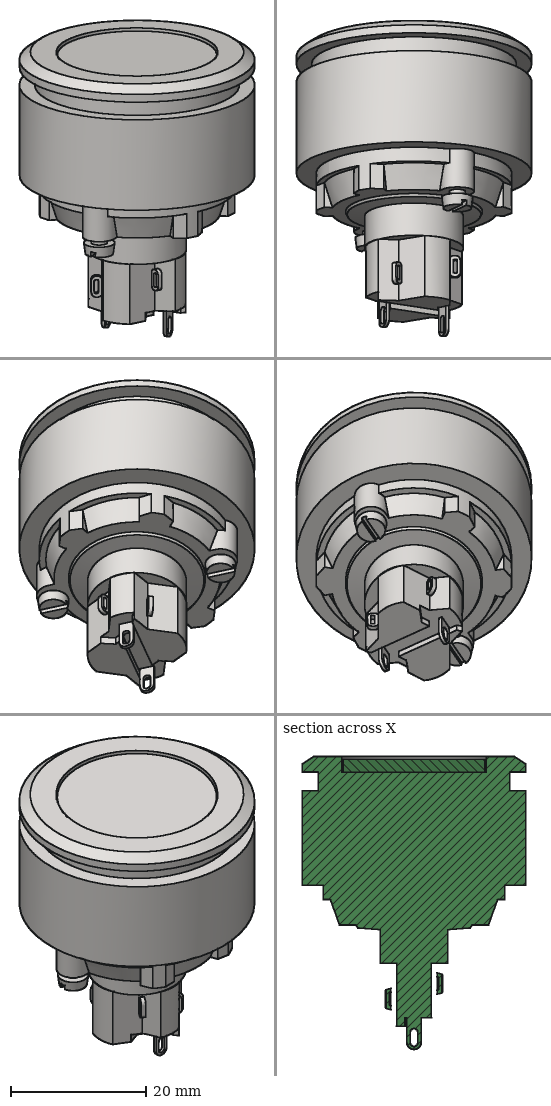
import cadquery as cq
import math

TOP_Z = 43.35
BEZEL_RIM_Z = 42.22
BEZEL_BOTTOM_Z = 41.0
COLLAR_TOP_Z = 38.28
COLLAR_BOTTOM_Z = 24.28
FLANGE_BOTTOM_Z = 22.15
CONE_BOTTOM_Z = 18.4
LIP_BOTTOM_Z = 17.95
BARREL_TOP_Z = 17.7
BLOCK_TOP_Z = 12.75
CHANNEL_CEILING_Z = 4.7
BLOCK_BOTTOM_Z = 3.42

BODY_RADIUS = 34.8 / 2
BEZEL_FACE_RADIUS = 31.55 / 2
NECK_RADIUS = 30.3 / 2
FLANGE_RADIUS = 28.9 / 2
CONE_TOP_RADIUS = 13.5
CONE_BOTTOM_RADIUS = 12.25
LIP_TOP_RADIUS = 20.25 / 2
LIP_BOTTOM_RADIUS = 19.8 / 2
BARREL_RADIUS = 14.6 / 2

BUTTON_RADIUS = 23.55 / 2
RECESS_RADIUS = 23.9 / 2
BUTTON_SINK = 0.45
RECESS_DEPTH = TOP_Z - BEZEL_BOTTOM_Z

TAB_ANGLES = (30, 150, 210, 330)
TAB_ROOT_RADIUS = 10.4
TAB_ROOT_HALF_ANGLE = 11.0
TAB_TIP_HALF_ANGLE = 3.9

SCREW_Y = 12.95
BOSS_RADIUS = 2.45
SHANK_RADIUS = 2.4 / 2
HEAD_TOP_RADIUS = 4.6 / 2
HEAD_BOTTOM_RADIUS = 4.15 / 2
HEAD_TOP_Z = 17.45
HEAD_BOTTOM_Z = 15.82
SCREW_SLOT = 0.75

LOBE_REACH = 7.4
X_LOBE_CORNER = (7.1, 1.85)
Y_LOBE_CORNER = (2.15, 7.0)
NOTCH_X = 4.35
NOTCH_Y = 3.05

CHANNEL_HALF_WIDTH = 1.3
FLARE_START_X = 6.5
POCKET_EDGE = (3.5, 4.5)
POCKET_VERTEX = (2.7, 2.45)
POCKET_END_X = 3.35

TERMINAL_X = 5.07
TERMINAL_WIDTH = 2.15
TERMINAL_THICKNESS = 0.5
EYE_WIDTH = 1.1
EYE_BOTTOM_Z = 0.48
EYE_TOP_Z = 3.08

LUG_REACH = 1.6
LUG_ROOT_DEPTH = 0.15
LUG_HEIGHT = 3.25
LUG_THICKNESS = 0.7
LUG_OFFSET = 0.17
LUG_CORNER_RADIUS = 0.8
LUG_EYE_WIDTH = 0.65
LUG_EYE_HEIGHT = 2.15
LUG_EYE_REACH = 0.82
LOW_LUG_Z = 7.45
HIGH_LUG_Z = 9.75

SIGN_PAIRS = [(sx, sy) for sx in (-1, 1) for sy in (-1, 1)]


def prism(points, bottom_z, top_z):
    """Straight prism on a closed polygon in the XY plane."""
    return cq.Workplane("XY").workplane(offset=bottom_z).polyline(points).close().extrude(top_z - bottom_z)


def polar(radius, degrees):
    angle = math.radians(degrees)
    return (radius * math.cos(angle), radius * math.sin(angle))


def make_turned_body():
    """Bezel, neck, collar, flange, cone, lip and barrel in one revolve."""
    profile = [
        (0, TOP_Z),
        (BEZEL_FACE_RADIUS, TOP_Z),
        (BODY_RADIUS, BEZEL_RIM_Z),
        (BODY_RADIUS, BEZEL_BOTTOM_Z),
        (NECK_RADIUS, BEZEL_BOTTOM_Z),
        (NECK_RADIUS, COLLAR_TOP_Z),
        (BODY_RADIUS, COLLAR_TOP_Z),
        (BODY_RADIUS, COLLAR_BOTTOM_Z),
        (FLANGE_RADIUS, COLLAR_BOTTOM_Z),
        (FLANGE_RADIUS, FLANGE_BOTTOM_Z),
        (CONE_TOP_RADIUS, FLANGE_BOTTOM_Z),
        (CONE_BOTTOM_RADIUS, CONE_BOTTOM_Z),
        (LIP_TOP_RADIUS, CONE_BOTTOM_Z),
        (LIP_BOTTOM_RADIUS, LIP_BOTTOM_Z),
        (BARREL_RADIUS, BARREL_TOP_Z),
        (BARREL_RADIUS, BLOCK_TOP_Z),
        (0, BLOCK_TOP_Z),
    ]
    return cq.Workplane("XZ").polyline(profile).close().revolve(360, (0, 0, 0), (0, 1, 0))


def make_tab(center_angle):
    """Tab with radial sides, bevelled to a narrow tip flush with the flange."""
    start_root = center_angle - TAB_ROOT_HALF_ANGLE
    end_root = center_angle + TAB_ROOT_HALF_ANGLE
    start_tip = center_angle - TAB_TIP_HALF_ANGLE
    end_tip = center_angle + TAB_TIP_HALF_ANGLE
    return (
        cq.Workplane("XY")
        .workplane(offset=CONE_BOTTOM_Z)
        .moveTo(*polar(TAB_ROOT_RADIUS, start_root))
        .lineTo(*polar(CONE_TOP_RADIUS, start_root))
        .lineTo(*polar(FLANGE_RADIUS, start_tip))
        .threePointArc(polar(FLANGE_RADIUS, center_angle), polar(FLANGE_RADIUS, end_tip))
        .lineTo(*polar(CONE_TOP_RADIUS, end_root))
        .lineTo(*polar(TAB_ROOT_RADIUS, end_root))
        .close()
        .extrude(FLANGE_BOTTOM_Z - CONE_BOTTOM_Z)
    )


def make_boss_and_screw(side):
    """Round boss with a rib to the cone, and the slotted screw below it."""
    boss_base = cq.Workplane("XY").workplane(offset=CONE_BOTTOM_Z).center(0, side * SCREW_Y)
    boss_height = COLLAR_BOTTOM_Z - CONE_BOTTOM_Z
    boss = boss_base.circle(BOSS_RADIUS).extrude(boss_height)
    rib_inner_y = side * TAB_ROOT_RADIUS
    rib = prism(
        [
            (-BOSS_RADIUS, rib_inner_y),
            (BOSS_RADIUS, rib_inner_y),
            (BOSS_RADIUS, side * SCREW_Y),
            (-BOSS_RADIUS, side * SCREW_Y),
        ],
        CONE_BOTTOM_Z,
        COLLAR_BOTTOM_Z,
    )
    screw_profile = [
        (0, CONE_BOTTOM_Z),
        (SHANK_RADIUS, CONE_BOTTOM_Z),
        (SHANK_RADIUS, HEAD_TOP_Z),
        (HEAD_TOP_RADIUS, HEAD_TOP_Z),
        (HEAD_BOTTOM_RADIUS, HEAD_BOTTOM_Z),
        (0, HEAD_BOTTOM_Z),
    ]
    screw = cq.Workplane("XZ").polyline(screw_profile).close().revolve(360, (0, 0, 0), (0, 1, 0))
    slot = cq.Workplane("XY").box(SCREW_SLOT, 2 * HEAD_TOP_RADIUS, 2 * SCREW_SLOT)
    screw = screw.cut(slot.translate((0, 0, HEAD_BOTTOM_Z)))
    return boss.union(rib).union(screw.translate((0, side * SCREW_Y, 0)))


def make_block_outline():
    """Cross-shaped plan: an arc over each lobe and a straight V notch between lobes."""
    y_corner_x, y_corner_y = Y_LOBE_CORNER
    x_corner_x, x_corner_y = X_LOBE_CORNER
    return (
        cq.Workplane("XY")
        .workplane(offset=BLOCK_BOTTOM_Z)
        .moveTo(x_corner_x, -x_corner_y)
        .threePointArc((LOBE_REACH, 0), (x_corner_x, x_corner_y))
        .lineTo(NOTCH_X, NOTCH_Y)
        .lineTo(y_corner_x, y_corner_y)
        .threePointArc((0, LOBE_REACH), (-y_corner_x, y_corner_y))
        .lineTo(-NOTCH_X, NOTCH_Y)
        .lineTo(-x_corner_x, x_corner_y)
        .threePointArc((-LOBE_REACH, 0), (-x_corner_x, -x_corner_y))
        .lineTo(-NOTCH_X, -NOTCH_Y)
        .lineTo(-y_corner_x, -y_corner_y)
        .threePointArc((0, -LOBE_REACH), (y_corner_x, -y_corner_y))
        .lineTo(NOTCH_X, -NOTCH_Y)
        .close()
    )


def make_block():
    """Lobed block with its bottom channel and pockets."""
    block = make_block_outline().extrude(BLOCK_TOP_Z - BLOCK_BOTTOM_Z)

    flare_x, flare_y = X_LOBE_CORNER
    for side in (-1, 1):
        channel_half = [
            (0, -CHANNEL_HALF_WIDTH),
            (side * FLARE_START_X, -CHANNEL_HALF_WIDTH),
            (side * flare_x, -flare_y),
            (side * LOBE_REACH, -flare_y),
            (side * LOBE_REACH, flare_y),
            (side * flare_x, flare_y),
            (side * FLARE_START_X, CHANNEL_HALF_WIDTH),
            (0, CHANNEL_HALF_WIDTH),
        ]
        block = block.cut(prism(channel_half, BLOCK_BOTTOM_Z, CHANNEL_CEILING_Z))

        pocket = [
            POCKET_EDGE,
            POCKET_VERTEX,
            (POCKET_END_X, CHANNEL_HALF_WIDTH),
            (LOBE_REACH, CHANNEL_HALF_WIDTH),
            (LOBE_REACH, POCKET_EDGE[1]),
        ]
        pocket = [(side * x, -side * y) for x, y in pocket]
        block = block.cut(prism(pocket, BLOCK_BOTTOM_Z, CHANNEL_CEILING_Z))
    return block


def make_terminal(side):
    """Flat solder terminal with a round tip and an oblong eye."""
    tip_radius = TERMINAL_WIDTH / 2
    eye_height = EYE_TOP_Z - EYE_BOTTOM_Z
    eye_center_z = (EYE_TOP_Z + EYE_BOTTOM_Z) / 2
    plane = cq.Workplane("YZ").workplane(offset=side * TERMINAL_X)
    plate = (
        plane.moveTo(-tip_radius, CHANNEL_CEILING_Z)
        .lineTo(-tip_radius, tip_radius)
        .threePointArc((0, 0), (tip_radius, tip_radius))
        .lineTo(tip_radius, CHANNEL_CEILING_Z)
        .close()
        .extrude(TERMINAL_THICKNESS / 2, both=True)
    )
    eye = plane.center(0, eye_center_z).slot2D(eye_height, EYE_WIDTH, 90)
    return plate.cut(eye.extrude(TERMINAL_THICKNESS, both=True))


def make_lug(sx, sy):
    """Eyed lug square to the Y-lobe face of a notch, beside the notch corner."""
    lobe_x, lobe_y = Y_LOBE_CORNER
    face_length = math.hypot(NOTCH_X - lobe_x, lobe_y - NOTCH_Y)
    along = (sx * (lobe_x - NOTCH_X) / face_length, sy * (lobe_y - NOTCH_Y) / face_length)
    outward = (sx * abs(along[1]), sy * abs(along[0]))
    lug_z = LOW_LUG_Z if sx == sy else HIGH_LUG_Z
    origin = (sx * NOTCH_X + along[0] * LUG_OFFSET, sy * NOTCH_Y + along[1] * LUG_OFFSET, lug_z)
    plane = cq.Plane(origin=origin, xDir=(*outward, 0), normal=(*along, 0))

    plate_width = LUG_REACH + LUG_ROOT_DEPTH
    plate_center = plate_width / 2 - LUG_ROOT_DEPTH
    plate = (
        cq.Workplane(plane)
        .center(plate_center, 0)
        .rect(plate_width, LUG_HEIGHT)
        .extrude(LUG_THICKNESS / 2, both=True)
        .edges(cq.selectors.ParallelDirSelector(plane.zDir))
        .fillet(LUG_CORNER_RADIUS)
    )
    eye = cq.Workplane(plane).center(LUG_EYE_REACH, 0).slot2D(LUG_EYE_HEIGHT, LUG_EYE_WIDTH, 90)
    return plate.cut(eye.extrude(LUG_THICKNESS, both=True))


def make_housing():
    housing = make_turned_body()
    for angle in TAB_ANGLES:
        housing = housing.union(make_tab(angle))
    housing = housing.union(make_block())
    for side in (-1, 1):
        housing = housing.union(make_boss_and_screw(side))
        housing = housing.union(make_terminal(side))
    for sx, sy in SIGN_PAIRS:
        housing = housing.union(make_lug(sx, sy))
    recess = cq.Workplane("XY").workplane(offset=TOP_Z - RECESS_DEPTH).circle(RECESS_RADIUS)
    return housing.cut(recess.extrude(RECESS_DEPTH)).solids()


def make_button():
    """Button disc resting on the recess floor, its face just below the bezel."""
    seat = cq.Workplane("XY").workplane(offset=TOP_Z - RECESS_DEPTH)
    return seat.circle(BUTTON_RADIUS).extrude(RECESS_DEPTH - BUTTON_SINK)


housing = make_housing()
button = make_button()
result = cq.Compound.makeCompound([housing.val(), button.val()])